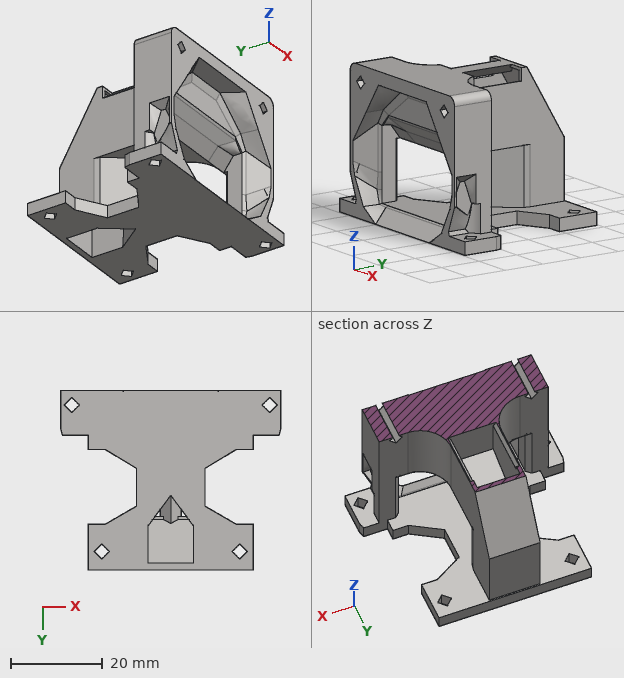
import cadquery as cq
import math

total_height = 34.6
wall = 1.0

base_thickness = 3.05
base_back = 39.1
base_half_width = 18.0

lug_half_span = 24.0
lug_hole_x = 21.55
lug_hole_y = 3.15

frame_half_width = 19.95
frame_depth = 9.8
frame_corner_radius = 2.0

fan_hole_x = 16.0
fan_hole_z = 30.7
fan_hole_diameter = 2.95
screw_hole_diameter = 3.2
rear_hole_x = 15.0
rear_hole_y = 35.1

body_half_width = 6.0
body_back = 38.8
body_underside = 17.1
slope_top_y = 28.9
slope_bottom_z = 17.5
flare_radius = 7.2

funnel_depth = frame_depth / 2
opening_half_width = 14.95
neck_y = 4.3
window_corner_z = 20.55
rear_spread_y = 8.75
rear_half_width = 16.1
mouth_top_half_width = 4.8
mouth_top_z = 28.85
mouth_shoulder_x = 12.3
mouth_shoulder_z = 23.4
lip_y = 5.25
ceiling_break_y = 7.2
ceiling_break_z = 20.15

slot_front = 14.5
slot_back = 27.45
slot_bottom = 31.65
web_half_width = 2.3
web_bottom = 32.45
roof_underside = total_height - 0.7

slope_run = (body_back - slope_top_y) / (total_height - slope_bottom_z)
chamber_half_width = body_half_width - wall
chamber_back = body_back - wall * math.hypot(1, slope_run)


def mirrored(right_side):
    """Close a right-hand outline with its mirror image across the middle."""
    left_side = [(-x, v) for x, v in reversed(right_side) if x > 0]
    return right_side + left_side


def prism(points, bottom, top):
    return cq.Workplane("XY").workplane(offset=bottom).polyline(points).close().extrude(top - bottom)


def block(x_range, y_range, z_range):
    size = [high - low for low, high in (x_range, y_range, z_range)]
    return cq.Workplane("XY").box(*size, centered=False).translate((x_range[0], y_range[0], z_range[0]))


def both_sides(shape):
    return shape.union(shape.mirror("YZ"))


def side_extrusion(points, half_width):
    """Extrude a (Y, Z) outline equally to both sides of the middle."""
    return cq.Workplane("YZ").polyline(points).close().extrude(half_width, both=True)


def loft_along_y(front_points, front_y, rear_points, rear_y):
    return (
        cq.Workplane("XZ", origin=(0, front_y, 0))
        .polyline(front_points).close()
        .workplane(offset=front_y - rear_y)
        .polyline(rear_points).close()
        .loft(ruled=True)
    )


def inner_slope_y(z):
    """Y of the inner face of the sloped back wall, one wall thickness inside the outer face."""
    return chamber_back - slope_run * (z - slope_bottom_z)


def make_base():
    waist_half_width = 7.5
    ear_half_width = 14.3
    rear_ear_y = 29.15
    front_ear_y = 12.85
    waist_front = 17.0
    waist_back = 25.2
    lug_chamfer_x = 0.4
    lug_chamfer_y = 1.45
    outline = [
        (lug_half_span, 0),
        (lug_half_span, frame_depth - lug_chamfer_y),
        (lug_half_span - lug_chamfer_x, frame_depth),
        (base_half_width, frame_depth),
        (base_half_width, front_ear_y),
        (ear_half_width, front_ear_y),
        (waist_half_width, waist_front),
        (waist_half_width, waist_back),
        (ear_half_width, rear_ear_y),
        (base_half_width, rear_ear_y),
        (base_half_width, base_back),
    ]
    return prism(mirrored(outline), 0, base_thickness)


def make_frame():
    frame = block((-frame_half_width, frame_half_width), (0, frame_depth), (0, total_height))
    return frame.edges("|Y and >Z").fillet(frame_corner_radius)


def make_body():
    profile = [
        (frame_depth, body_underside),
        (frame_depth, total_height),
        (slope_top_y, total_height),
        (body_back, slope_bottom_z),
        (body_back, body_underside),
    ]
    body = side_extrusion(profile, body_half_width)

    flare_end_y = frame_depth + flare_radius
    flare_end_x = body_half_width + flare_radius
    flare = (
        cq.Workplane("XY").workplane(offset=body_underside)
        .moveTo(-flare_end_x, frame_depth)
        .lineTo(flare_end_x, frame_depth)
        .radiusArc((body_half_width, flare_end_y), flare_radius)
        .lineTo(-body_half_width, flare_end_y)
        .radiusArc((-flare_end_x, frame_depth), flare_radius)
        .close().extrude(total_height - body_underside)
    )

    column_outline = [
        (0, 20.6),
        (5.7, 28.35),
        (body_half_width, 29.7),
        (body_half_width, body_back),
    ]
    column = prism(mirrored(column_outline), 0, body_underside)
    return body.union(flare).union(column)


def cut_funnel(part):
    floor_z = base_thickness
    fan_opening = mirrored([
        (9.1, 31.5),
        (13.9, 24.4),
        (18.95, 16.95),
        (18.95, 12.5),
        (18.2, 9.25),
        (opening_half_width, floor_z),
        (10.2, 0),
    ])
    funnel_neck = mirrored([
        (5.4, 30.9),
        (13.5, 24.5),
        (15.5, 21.1),
        (15.5, 10.1),
        (15.95, 6.15),
        (15.0, floor_z - 0.15),
        (12.5, 2.75),
    ])
    funnel_end = mirrored([
        (mouth_top_half_width, mouth_top_z),
        (mouth_shoulder_x, mouth_shoulder_z),
        (opening_half_width, window_corner_z),
        (opening_half_width, 10.1),
        (opening_half_width, 6.15),
        (opening_half_width, floor_z + 0.05),
        (12.5, floor_z - 0.05),
    ])
    funnel = loft_along_y(fan_opening, 0, funnel_neck, neck_y)
    funnel = funnel.union(loft_along_y(funnel_neck, neck_y, funnel_end, funnel_depth))

    def window(shoulder_x, ceiling_z, corner_z):
        return mirrored([
            (shoulder_x, ceiling_z),
            (opening_half_width, corner_z),
            (opening_half_width, floor_z),
        ])

    steps = [
        (funnel_depth, window(mouth_shoulder_x, mouth_shoulder_z, window_corner_z)),
        (lip_y, window(12.95, 22.75, window_corner_z)),
        (ceiling_break_y, window(9.0, ceiling_break_z, window_corner_z)),
        (frame_depth, window(9.0, body_underside, body_underside - 0.05)),
    ]
    for (front_y, front_outline), (rear_y, rear_outline) in zip(steps, steps[1:]):
        funnel = funnel.union(loft_along_y(front_outline, front_y, rear_outline, rear_y))

    spread = mirrored([
        (opening_half_width, rear_spread_y),
        (rear_half_width, frame_depth),
    ])
    funnel = funnel.union(prism(spread, floor_z, body_underside))
    return part.cut(funnel)


def cut_lug_clearance(part):
    notch_top = 9.9
    notch_root = [
        (17.65, 4.05),
        (18.0, base_thickness),
        (lug_hole_x, base_thickness),
        (lug_hole_x, notch_top),
    ]
    head_radius = 4.1
    head_back = lug_hole_y + head_radius
    head_clearance = (
        cq.Workplane("XY").center(lug_hole_x, lug_hole_y).circle(head_radius).extrude(total_height)
        .union(block((lug_hole_x - head_radius, lug_hole_x), (0, lug_hole_y), (0, total_height)))
    )
    notch = loft_along_y(
        [(frame_half_width, notch_top)] + notch_root, 0,
        [(18.0, notch_top)] + notch_root, head_back,
    )
    notch = notch.intersect(head_clearance)

    pocket_depth = 1.75
    pocket_front = 0.55
    pocket_back = 5.7
    pocket_top = 16.65
    pocket_foot = [
        (pocket_front, 10.1),
        (4.85, 7.05),
        (pocket_back, 9.6),
    ]
    outer_top = [(pocket_back, pocket_top), (pocket_front, pocket_top)]
    inner_top = [(3.85, 15.0), (2.7, 15.0)]
    driver_pocket = (
        cq.Workplane("YZ", origin=(frame_half_width, 0, 0))
        .polyline(pocket_foot + outer_top).close()
        .workplane(offset=-pocket_depth)
        .polyline(pocket_foot + inner_top).close()
        .loft(ruled=True)
    )
    return part.cut(both_sides(notch.union(driver_pocket)))


def cut_chamber(part):
    roof_back = inner_slope_y(web_bottom)
    floor_front_z = 22.55
    floor_back_y = 28.15
    floor_back_z = body_underside + wall
    profile = [
        (slot_front, floor_front_z),
        (slot_front, web_bottom),
        (roof_back, web_bottom),
        (inner_slope_y(floor_back_z), floor_back_z),
        (floor_back_y, floor_back_z),
    ]
    chamber = side_extrusion(profile, chamber_half_width)

    point_slope = 1.35
    point_y_top = 21.45
    point_y_bottom = 22.85

    def outlet_outline(point_y):
        return mirrored([
            (0, point_y),
            (body_half_width, point_y + point_slope * body_half_width),
            (body_half_width, body_back),
        ])

    outlet = (
        cq.Workplane("XY").polyline(outlet_outline(point_y_bottom)).close()
        .workplane(offset=floor_front_z).polyline(outlet_outline(point_y_top)).close()
        .loft(ruled=True)
    )
    outlet_envelope = [
        (slot_front, 0),
        (slot_front, web_bottom),
        (roof_back, web_bottom),
        (chamber_back, slope_bottom_z),
        (chamber_back, 0),
    ]
    outlet = outlet.intersect(side_extrusion(outlet_envelope, chamber_half_width))
    return part.cut(chamber.union(outlet))


def cut_top_slots(part):
    slot_outer = body_half_width + wall
    rim_half_width = 5.8
    bevel_foot_z = slot_bottom - wall
    section = [
        (0, bevel_foot_z),
        (chamber_half_width, bevel_foot_z),
        (rim_half_width, slot_bottom),
        (slot_outer, slot_bottom),
        (slot_outer, total_height),
        (web_half_width, total_height),
        (0, web_bottom),
    ]
    slot = (
        cq.Workplane("XZ", origin=(0, slot_front, 0))
        .polyline(section).close().extrude(slot_front - slot_back)
    )

    web_slope = (total_height - web_bottom) / web_half_width
    hollow_section = mirrored([
        (0, web_bottom),
        ((roof_underside - web_bottom) / web_slope, roof_underside),
        (chamber_half_width, roof_underside),
        (chamber_half_width, bevel_foot_z),
    ])
    hollow = loft_along_y(hollow_section, slot_front, hollow_section, body_back)
    hollow_envelope = [
        (slot_front, 0),
        (slot_front, total_height),
        (inner_slope_y(total_height), total_height),
        (inner_slope_y(0), 0),
    ]
    hollow = hollow.intersect(side_extrusion(hollow_envelope, body_half_width))
    return part.cut(both_sides(slot)).cut(hollow)


def cut_screw_holes(part):
    sides = 4
    frame_points = [(fan_hole_x, fan_hole_z), (-fan_hole_x, fan_hole_z)]
    fan_holes = (
        cq.Workplane("XZ").pushPoints(frame_points)
        .polygon(sides, fan_hole_diameter).extrude(-frame_depth)
    )
    floor_points = [
        (side * x, y)
        for side in (-1, 1)
        for x, y in ((lug_hole_x, lug_hole_y), (rear_hole_x, rear_hole_y))
    ]
    floor_holes = (
        cq.Workplane("XY").pushPoints(floor_points)
        .polygon(sides, screw_hole_diameter).extrude(base_thickness)
    )
    return part.cut(fan_holes).cut(floor_holes)


result = make_base().union(make_frame()).union(make_body())
result = cut_funnel(result)
result = cut_lug_clearance(result)
result = cut_chamber(result)
result = cut_top_slots(result)
result = cut_screw_holes(result)